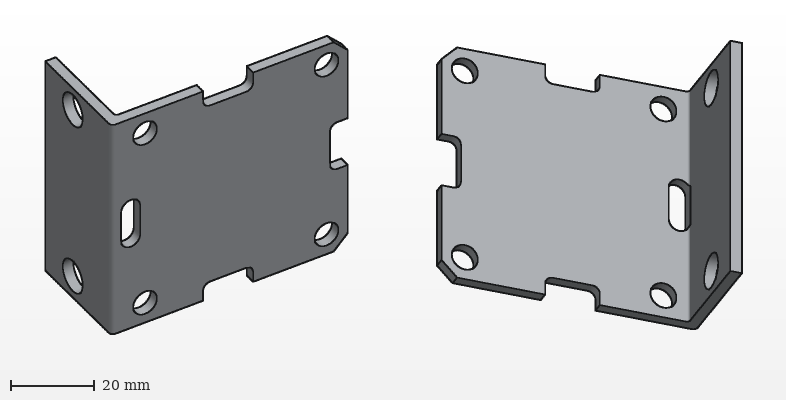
import cadquery as cq

width = 30.0
length = 66.5
height = 63.0
thickness = 3.0
inner_bend_radius = 0.85
outer_bend_radius = 1.2

corner_chamfer = 4.0

plate_hole_diameter = 6.65
plate_hole_inset = 6.0
plate_hole_spacing = height - 2 * plate_hole_inset

flange_hole_diameter = 9.0
flange_hole_from_edge = 12.5
flange_hole_spacing = 50.0

notch_width = 14.0
notch_depth = 5.0
notch_corner_radius = 2.0
side_notch_from_free_edge = 33.65

slot_length = 14.0
slot_width = 5.3
slot_from_front = 5.45

plate_inner_x = width - thickness


def make_angle():
    """Bent L-section, extruded over the full height."""
    angle = (
        cq.Workplane("XY")
        .polyline([
            (0, 0),
            (width, 0),
            (width, length),
            (plate_inner_x, length),
            (plate_inner_x, thickness),
            (0, thickness),
        ])
        .close()
        .extrude(height / 2, both=True)
    )
    angle = angle.edges(cq.selectors.NearestToPointSelector((width, 0, 0))).fillet(outer_bend_radius)
    inner_corner = cq.selectors.NearestToPointSelector((plate_inner_x, thickness, 0))
    return angle.edges(inner_corner).fillet(inner_bend_radius)


def plate_sketch():
    """YZ workplane on the inner face of the plate; extrude by thickness to pass through it."""
    return cq.Workplane("YZ", origin=(plate_inner_x, 0, 0))


def notch_cutter(y, z, size_y, size_z):
    """Rounded block centred on a plate edge, so that half of it cuts the plate."""
    block = plate_sketch().center(y, z).rect(size_y, size_z).extrude(thickness)
    return block.edges("|X").fillet(notch_corner_radius)


def plate_hole_cutter():
    """Square pattern of four holes near the free edge and the bend."""
    pattern_y = length - plate_hole_inset - plate_hole_spacing / 2
    return (
        plate_sketch()
        .center(pattern_y, 0)
        .rect(plate_hole_spacing, plate_hole_spacing, forConstruction=True)
        .vertices()
        .circle(plate_hole_diameter / 2)
        .extrude(thickness)
    )


def slot_cutter():
    """Upright slot beside the bend, reaching inward far enough to clear the inner bend radius."""
    return (
        plate_sketch()
        .workplane(offset=-inner_bend_radius)
        .center(slot_from_front, 0)
        .slot2D(slot_length, slot_width, 90)
        .extrude(thickness + inner_bend_radius)
    )


def flange_hole_cutter():
    """Two mounting holes through the flange."""
    return (
        cq.Workplane("XZ")
        .center(flange_hole_from_edge, 0)
        .rarray(0.65, flange_hole_spacing, 1, 2)
        .circle(flange_hole_diameter / 2)
        .extrude(-thickness)
    )


result = make_angle()
result = result.edges("|X and >Y").chamfer(corner_chamfer)

result = result.cut(notch_cutter(length, 0, 2 * notch_depth, notch_width))
for side in (-1, 1):
    notch_y = length - side_notch_from_free_edge
    result = result.cut(notch_cutter(notch_y, side * height / 2, notch_width, 2 * notch_depth))

result = result.cut(plate_hole_cutter())
result = result.cut(slot_cutter())
result = result.cut(flange_hole_cutter())